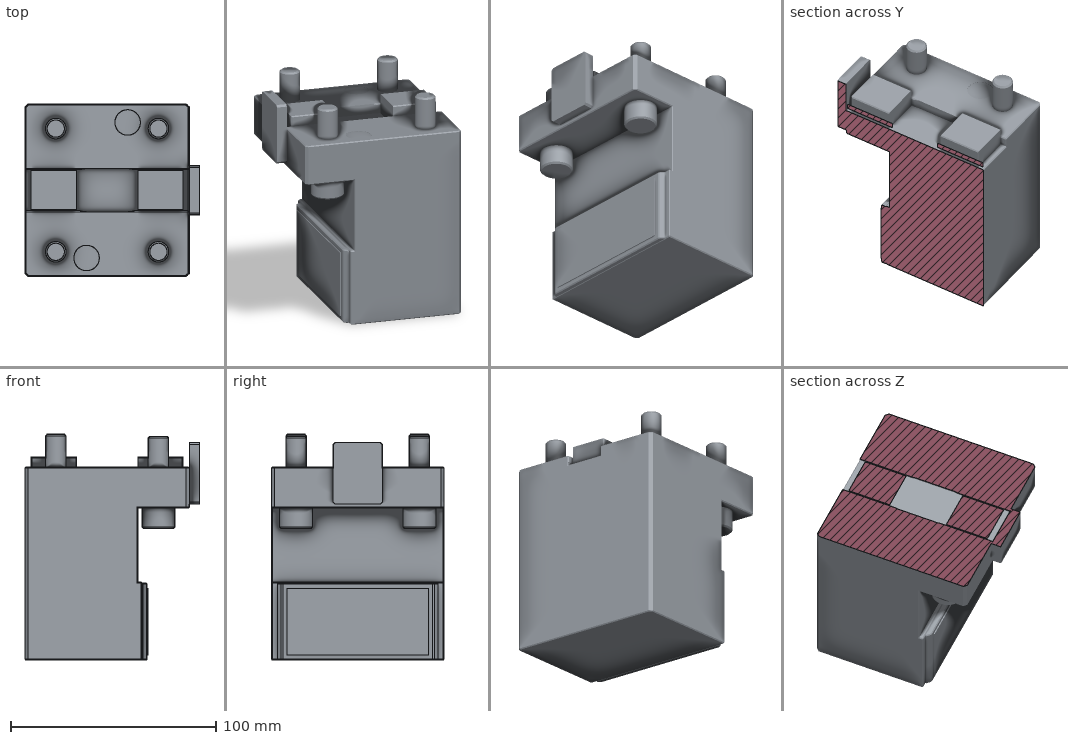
import cadquery as cq
LENGTH = 80.0
WIDTH = 84.0
HEIGHT = 94.0
FLANGE_BOTTOM = 74.0
NECK_X = 55.0
FOOT_X = 57.0
FOOT_HEIGHT = 38.0
CORNER_CHAMFER = 1.5
EDGE_CHAMFER = 0.5

COVER_X = 59.5
COVER_WIDTH = 78.0
COVER_BOTTOM = 0.0
COVER_TOP = FOOT_HEIGHT - EDGE_CHAMFER
COVER_CORNER_CHAMFER = 2.0
PANEL_X = 60.0
PANEL_MARGIN = 2.5

SLOT_WIDTH = 20.0
SLOT_FLOOR = 89.0
RELIEF_WIDTH = SLOT_WIDTH + 2 * EDGE_CHAMFER
RELIEF_LENGTH = 40.0
RELIEF_CORNER_RADIUS = 10.0
UNDERCUT_DEPTH = 0.25
UNDERCUT_HEIGHT = 1.5

KEY_LENGTH = 22.0
KEY_TOP = 99.0
KEY_INSET = 3.0

PIN_DIAMETER = 10.0
PIN_CHAMFER = 0.8
PIN_SPACING_Y = 60.0
REAR_PIN_X = 15.0
REAR_PIN_TOP = 110.0
SCREW_X = 65.0
SCREW_TOP = 109.0
HEAD_DIAMETER = 16.0
HEAD_HEIGHT = 10.0
HEAD_CHAMFER = 0.8

PLUG_DIAMETER = 12.4
PLUG_RECESS = 0.1
PLUG_POINTS = [(30.0, -33.0), (50.0, 33.0)]

PLATE_THICKNESS = 5.0
PLATE_WIDTH = 24.0
PLATE_BOTTOM = 76.0
PLATE_TOP = 106.0
PLATE_CHAMFER = 1.0


def block(x_min, x_max, width, z_min, z_max):
    """Box between two X and two Z limits, centred on the XZ plane."""
    return (
        cq.Workplane("XY", origin=((x_min + x_max) / 2, 0, z_min))
        .box(x_max - x_min, width, z_max - z_min, centered=(True, True, False))
    )


def upright(diameter, z_min, z_max, points):
    """Equal vertical cylinders at the given XY points."""
    return (
        cq.Workplane("XY", origin=(0, 0, z_min))
        .pushPoints(points)
        .circle(diameter / 2)
        .extrude(z_max - z_min)
    )


def edges_at_x(body, x):
    """Vertical edges of the body near one X position."""
    reach = 0.1
    selector = cq.selectors.BoxSelector(
        (x - reach, -WIDTH, 0), (x + reach, WIDTH, HEIGHT)
    )
    return body.edges("|Z").edges(selector)


def make_housing():
    outline = [
        (0, 0),
        (FOOT_X, 0),
        (FOOT_X, FOOT_HEIGHT),
        (NECK_X, FOOT_HEIGHT),
        (NECK_X, FLANGE_BOTTOM),
        (LENGTH, FLANGE_BOTTOM),
        (LENGTH, HEIGHT),
        (0, HEIGHT),
    ]
    body = cq.Workplane("XZ").polyline(outline).close().extrude(WIDTH / 2, both=True)
    body = edges_at_x(body, 0).chamfer(CORNER_CHAMFER)
    body = edges_at_x(body, LENGTH).chamfer(CORNER_CHAMFER)
    body = edges_at_x(body, NECK_X).chamfer(EDGE_CHAMFER)
    body = edges_at_x(body, FOOT_X).chamfer(EDGE_CHAMFER)
    body = body.faces("<Z").edges().chamfer(EDGE_CHAMFER)
    foot_rim = cq.selectors.BoxSelector(
        (NECK_X + EDGE_CHAMFER, -WIDTH, FOOT_HEIGHT - EDGE_CHAMFER / 2),
        (FOOT_X + EDGE_CHAMFER, WIDTH, FOOT_HEIGHT + EDGE_CHAMFER / 2),
    )
    body = body.edges(foot_rim).edges("#Z").chamfer(EDGE_CHAMFER)
    flange_rim = cq.selectors.BoxSelector(
        (NECK_X + CORNER_CHAMFER, -WIDTH, FLANGE_BOTTOM - EDGE_CHAMFER),
        (LENGTH + CORNER_CHAMFER, WIDTH, FLANGE_BOTTOM + EDGE_CHAMFER),
    )
    return body.edges(flange_rim).edges("#Z").chamfer(EDGE_CHAMFER)


def cut_keyway(body):
    body = body.cut(block(0, LENGTH, SLOT_WIDTH, SLOT_FLOOR, HEIGHT))
    slot_mouths = cq.selectors.BoxSelector(
        (-EDGE_CHAMFER, -RELIEF_WIDTH / 2, SLOT_FLOOR - EDGE_CHAMFER),
        (LENGTH + EDGE_CHAMFER, RELIEF_WIDTH / 2, HEIGHT - EDGE_CHAMFER),
    )
    mouth_edges = body.faces("<X or >X").edges(slot_mouths)
    rim_edges = body.faces(">Z").edges()
    body = body.newObject(mouth_edges.vals() + rim_edges.vals()).chamfer(EDGE_CHAMFER)

    middle = LENGTH / 2
    relief = block(
        middle - RELIEF_LENGTH / 2, middle + RELIEF_LENGTH / 2, RELIEF_WIDTH, SLOT_FLOOR, HEIGHT
    )
    body = body.cut(relief.edges("|Z").fillet(RELIEF_CORNER_RADIUS))
    undercut_width = SLOT_WIDTH + 2 * UNDERCUT_DEPTH
    undercut = block(0, LENGTH, undercut_width, SLOT_FLOOR, SLOT_FLOOR + UNDERCUT_HEIGHT)
    return body.cut(undercut)


def make_cover():
    cover = block(FOOT_X, COVER_X, COVER_WIDTH, COVER_BOTTOM, COVER_TOP)
    cover = cover.edges("|Z and >X").chamfer(COVER_CORNER_CHAMFER)
    front_edges = cover.faces(">X").edges().vals()
    rim_edges = cover.faces("<Z or >Z").edges("not <X").vals()
    cover = cover.newObject(set(front_edges + rim_edges)).chamfer(EDGE_CHAMFER)
    panel = block(
        COVER_X,
        PANEL_X,
        COVER_WIDTH - 2 * (COVER_CORNER_CHAMFER + PANEL_MARGIN),
        COVER_BOTTOM + PANEL_MARGIN,
        COVER_TOP - PANEL_MARGIN,
    )
    return cover.union(panel)


def make_key(x_min, outer_side):
    """Key chamfered along its top sides and on the two uprights of its outer end."""
    key = block(x_min, x_min + KEY_LENGTH, SLOT_WIDTH, SLOT_FLOOR, KEY_TOP)
    key = key.edges("|Z").edges(outer_side).chamfer(EDGE_CHAMFER)
    return key.faces(">Z").edges("|X").chamfer(EDGE_CHAMFER)


def make_pins():
    y = PIN_SPACING_Y / 2
    rear = upright(PIN_DIAMETER, HEIGHT, REAR_PIN_TOP, [(REAR_PIN_X, -y), (REAR_PIN_X, y)])
    rear = rear.faces(">Z").edges().chamfer(PIN_CHAMFER)

    screw_points = [(SCREW_X, -y), (SCREW_X, y)]
    shanks = upright(PIN_DIAMETER, HEIGHT, SCREW_TOP, screw_points)
    shanks = shanks.faces(">Z").edges().chamfer(PIN_CHAMFER)
    heads = upright(HEAD_DIAMETER, FLANGE_BOTTOM - HEAD_HEIGHT, FLANGE_BOTTOM, screw_points)
    heads = heads.faces("<Z").edges().chamfer(HEAD_CHAMFER)
    return [rear, shanks, heads]


def make_stop_plate():
    plate = block(LENGTH, LENGTH + PLATE_THICKNESS, PLATE_WIDTH, PLATE_BOTTOM, PLATE_TOP)
    return plate.edges("|X").chamfer(PLATE_CHAMFER)


housing = cut_keyway(make_housing())
housing = housing.cut(upright(PLUG_DIAMETER, HEIGHT - PLUG_RECESS, HEIGHT, PLUG_POINTS))

attachments = [
    make_cover(),
    make_key(KEY_INSET, "<X"),
    make_key(LENGTH - KEY_INSET - KEY_LENGTH, ">X"),
    make_stop_plate(),
]

result = housing
for attachment in attachments + make_pins():
    result = result.union(attachment)